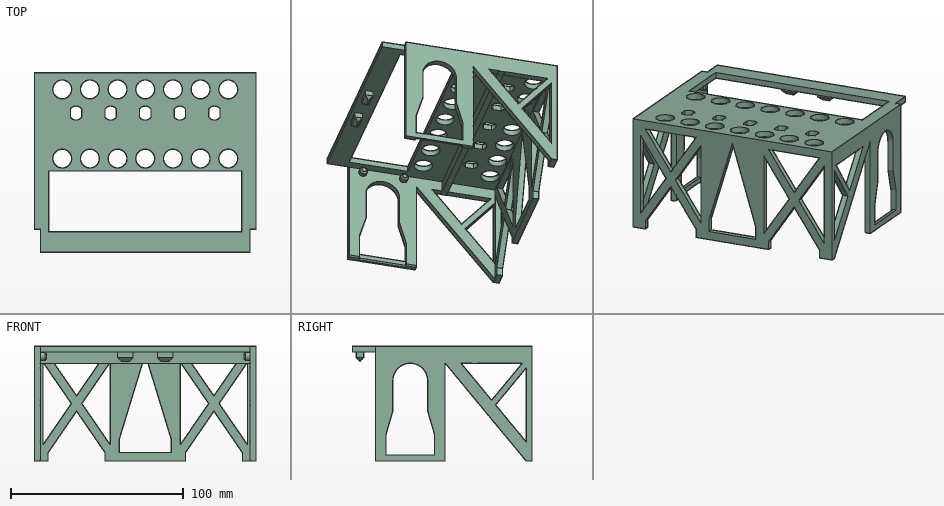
import cadquery as cq

WIDTH = 128.2
DEPTH = 104.0
HEIGHT = 66.5
THICKNESS = 3.5

BODY_DEPTH = 90.7
INNER_WIDTH = WIDTH - 2 * THICKNESS
OVERLAP = 0.5

WINDOW_WIDTH = 111.6
WINDOW_REAR = 57.0
WINDOW_LENGTH = 35.0
HOLE_DIAMETER = 10.74
HOLE_COUNT = 7
HOLE_PITCH = 16.0
HOLE_ROWS = (9.7, 49.7)
SLOT_WIDTH = 6.4
SLOT_DIAMETER = 8.0
SLOT_COUNT = 5
SLOT_PITCH = 20.0
SLOT_ROW = 23.4

RAIL_BOTTOM = 10.2
RAIL_FRONT = 35.0

REAR_BAND = 5.0
BAY_OUTER = WIDTH / 2 - 5.0
BAY_INNER = 20.3
BRACE_HALF_HEIGHT = 4.5
FOOT_MARGIN = 3.0
DOOR_HALF_WIDTH = 15.0
DOOR_SIDE_HEIGHT = 7.5

SIDE_BAND = 10.0
POST_REAR = 50.3
POST_CENTER = -(POST_REAR + BODY_DEPTH) / 2
DIAGONAL_HEIGHT = 11.2
STRUT_HEIGHT = 5.6
STRUT_LOWER_START = -12.8
ARCH_RADIUS = 10.0
ARCH_BASE_HALF_WIDTH = 14.0
ARCH_STRAIGHT_END = 37.5
ARCH_BASE_TOP = 51.2
SILL_THICKNESS = 2.0
SILL_INNER_X = -WIDTH / 2 + SILL_THICKNESS
FOOT_CHAMFER = 0.8

PEG_DIAMETER = 4.72
PEG_LENGTH = 3.5
PEG_CHAMFER = 1.0
PEG_DEPTH = 6.1
PEG_INSET = 8.0

CATCH_LENGTH = 9.0
CATCH_WIDTH = 4.5
CATCH_CENTER_X = 11.45
CATCH_CENTER_Y = 99.6
CATCH_STRAIGHT = 3.1
CATCH_POINT = CATCH_WIDTH / 2


def block(x_min, x_max, y_min, y_max, z_min, z_max):
    """Axis-aligned box between the given limits."""
    size = (x_max - x_min, y_max - y_min, z_max - z_min)
    return cq.Workplane("XY").box(*size, centered=False).translate((x_min, y_min, z_min))


def row(count, pitch, distance):
    """Centres of an evenly spaced row across the deck."""
    return [((i - (count - 1) / 2) * pitch, -distance) for i in range(count)]


def make_deck():
    deck = block(-WIDTH / 2, WIDTH / 2, -BODY_DEPTH, 0, -THICKNESS, 0)
    lip = block(-INNER_WIDTH / 2, INNER_WIDTH / 2, -DEPTH, -BODY_DEPTH + OVERLAP, -THICKNESS, 0)
    window = block(
        -WINDOW_WIDTH / 2, WINDOW_WIDTH / 2, -WINDOW_REAR - WINDOW_LENGTH, -WINDOW_REAR, -THICKNESS, 0
    )
    deck = deck.union(lip).cut(window)
    hole_centers = [center for distance in HOLE_ROWS for center in row(HOLE_COUNT, HOLE_PITCH, distance)]
    holes = cq.Workplane("XY").pushPoints(hole_centers).circle(HOLE_DIAMETER / 2).extrude(-THICKNESS)
    slot_places = cq.Workplane("XY").pushPoints(row(SLOT_COUNT, SLOT_PITCH, SLOT_ROW))
    slot_circles = slot_places.circle(SLOT_DIAMETER / 2).extrude(-THICKNESS)
    slot_flats = slot_places.rect(SLOT_WIDTH, SLOT_DIAMETER).extrude(-THICKNESS)
    return deck.cut(holes).cut(slot_circles.intersect(slot_flats))


def make_rail():
    return block(-WIDTH / 2, WIDTH / 2, -RAIL_FRONT, -RAIL_FRONT + THICKNESS, -RAIL_BOTTOM, 0)


def rear_prism(points):
    """Prism through the rear wall with the given X, Z outline."""
    return cq.Workplane("XZ").polyline(points).close().extrude(THICKNESS)


def make_rear_wall():
    wall = block(-WIDTH / 2, WIDTH / 2, -THICKNESS, 0, -HEIGHT, 0)
    top = -REAR_BAND
    bottom = -HEIGHT + REAR_BAND
    middle_z = (top + bottom) / 2
    middle_x = (BAY_OUTER + BAY_INNER) / 2
    slope = (top - bottom) / (BAY_OUTER - BAY_INNER)
    half_base = (middle_z - bottom - BRACE_HALF_HEIGHT) / slope
    apex_offset = BRACE_HALF_HEIGHT / slope
    half_bay = (BAY_OUTER - BAY_INNER) / 2
    side_half_height = (half_bay - apex_offset) * slope
    foot_gap = half_bay - FOOT_MARGIN

    for side in (-1, 1):
        center = side * middle_x
        upper = [
            (center - half_base, top),
            (center + half_base, top),
            (center, middle_z + BRACE_HALF_HEIGHT),
        ]
        lower = [
            (center - half_base, bottom),
            (center + half_base, bottom),
            (center, middle_z - BRACE_HALF_HEIGHT),
        ]
        wall = wall.cut(rear_prism(upper)).cut(rear_prism(lower))
        wall = wall.cut(block(center - foot_gap, center + foot_gap, -THICKNESS, 0, -HEIGHT, bottom))
        for direction in (-1, 1):
            edge = center + direction * half_bay
            wall = wall.cut(
                rear_prism(
                    [
                        (edge, middle_z - side_half_height),
                        (edge, middle_z + side_half_height),
                        (center + direction * apex_offset, middle_z),
                    ]
                )
            )

    door = [
        (-DOOR_HALF_WIDTH, bottom),
        (DOOR_HALF_WIDTH, bottom),
        (DOOR_HALF_WIDTH, bottom + DOOR_SIDE_HEIGHT),
        (0, top),
        (-DOOR_HALF_WIDTH, bottom + DOOR_SIDE_HEIGHT),
    ]
    return wall.cut(rear_prism(door))


def side_sketch():
    """Y, Z sketch plane whose extrusion fills the thickness of the -X side wall."""
    return cq.Workplane("YZ", origin=(-WIDTH / 2, 0, 0))


def side_prism(points):
    """Prism through the -X side wall with the given Y, Z outline."""
    return side_sketch().polyline(points).close().extrude(THICKNESS)


def make_side_openings():
    """Two triangles left free by the diagonal and by the strut that meets it."""
    slope = (HEIGHT - SIDE_BAND) / (POST_REAR - THICKNESS)

    def diagonal_z(distance):
        return -HEIGHT + (distance - THICKNESS) * slope + DIAGONAL_HEIGHT

    def meet(rear_z):
        """Point on the diagonal reached by a strut edge that starts at the rear column."""
        distance = THICKNESS + (rear_z - diagonal_z(THICKNESS)) / (2 * slope)
        return (-distance, diagonal_z(distance))

    def meet_band(rear_z):
        """Point where an edge leaving the rear column at this height crosses the top strip."""
        return (-THICKNESS - abs(-SIDE_BAND - rear_z) / slope, -SIDE_BAND)

    strut_top = STRUT_LOWER_START + STRUT_HEIGHT
    rear = [
        (-THICKNESS, diagonal_z(THICKNESS)),
        (-THICKNESS, STRUT_LOWER_START),
        meet(STRUT_LOWER_START),
    ]
    upper = [
        meet_band(strut_top),
        meet_band(diagonal_z(THICKNESS)),
        meet(strut_top),
    ]
    return side_prism(rear).union(side_prism(upper))


def make_arch():
    """Opening through the post: a round top above sides that flare to a wide base."""
    center = POST_CENTER
    return (
        side_sketch()
        .moveTo(center - ARCH_BASE_HALF_WIDTH, -HEIGHT + THICKNESS)
        .lineTo(center - ARCH_BASE_HALF_WIDTH, -ARCH_BASE_TOP)
        .lineTo(center - ARCH_RADIUS, -ARCH_STRAIGHT_END)
        .lineTo(center - ARCH_RADIUS, -SIDE_BAND - ARCH_RADIUS)
        .threePointArc((center, -SIDE_BAND), (center + ARCH_RADIUS, -SIDE_BAND - ARCH_RADIUS))
        .lineTo(center + ARCH_RADIUS, -ARCH_STRAIGHT_END)
        .lineTo(center + ARCH_BASE_HALF_WIDTH, -ARCH_BASE_TOP)
        .lineTo(center + ARCH_BASE_HALF_WIDTH, -HEIGHT + THICKNESS)
        .close()
        .extrude(THICKNESS)
    )


def make_sill_recess():
    """Recess that thins the bar below the arch from the inside."""
    return block(
        SILL_INNER_X,
        -INNER_WIDTH / 2,
        POST_CENTER - ARCH_BASE_HALF_WIDTH,
        POST_CENTER + ARCH_BASE_HALF_WIDTH,
        -HEIGHT,
        -HEIGHT + THICKNESS,
    )


def make_foot_chamfer(inner_x, y_front, y_rear):
    """Wedge that breaks the bottom edge of an inner face of the post."""
    return (
        cq.Workplane("XZ", origin=(inner_x, y_rear, -HEIGHT))
        .polyline([(0, 0), (-FOOT_CHAMFER, 0), (0, FOOT_CHAMFER)])
        .close()
        .extrude(y_rear - y_front)
    )


def make_peg(distance):
    """Chamfered peg on the inner face of the -X side wall."""
    return (
        cq.Workplane("YZ", origin=(-INNER_WIDTH / 2 - OVERLAP, -distance, -PEG_DEPTH))
        .circle(PEG_DIAMETER / 2)
        .extrude(PEG_LENGTH + OVERLAP)
        .faces(">X")
        .chamfer(PEG_CHAMFER)
    )


def make_side_wall():
    outline = [
        (0, 0),
        (0, -HEIGHT),
        (-THICKNESS, -HEIGHT),
        (-POST_REAR, -SIDE_BAND),
        (-POST_REAR, -HEIGHT),
        (-BODY_DEPTH, -HEIGHT),
        (-BODY_DEPTH, 0),
    ]
    wall = side_prism(outline).cut(make_side_openings()).cut(make_arch())
    wall = wall.cut(make_sill_recess())
    wall = wall.cut(make_foot_chamfer(-INNER_WIDTH / 2, -BODY_DEPTH, -POST_REAR))
    wall = wall.cut(
        make_foot_chamfer(
            SILL_INNER_X, POST_CENTER - ARCH_BASE_HALF_WIDTH, POST_CENTER + ARCH_BASE_HALF_WIDTH
        )
    )
    for distance in (POST_REAR + PEG_INSET, BODY_DEPTH - PEG_INSET):
        wall = wall.union(make_peg(distance))
    return wall


def make_catch(center_x):
    """Rectangular catch under the lip, ending in a 45 degree hip."""
    end_z = -THICKNESS - CATCH_STRAIGHT
    straight = block(
        center_x - CATCH_LENGTH / 2,
        center_x + CATCH_LENGTH / 2,
        -CATCH_CENTER_Y - CATCH_WIDTH / 2,
        -CATCH_CENTER_Y + CATCH_WIDTH / 2,
        end_z,
        -THICKNESS + OVERLAP,
    )
    along = (
        cq.Workplane("YZ", origin=(center_x - CATCH_LENGTH / 2, -CATCH_CENTER_Y, end_z))
        .polyline([(-CATCH_WIDTH / 2, 0), (CATCH_WIDTH / 2, 0), (0, -CATCH_POINT)])
        .close()
        .extrude(CATCH_LENGTH)
    )
    across = (
        cq.Workplane("XZ", origin=(center_x, -CATCH_CENTER_Y + CATCH_WIDTH / 2, end_z))
        .polyline(
            [
                (-CATCH_LENGTH / 2, 0),
                (CATCH_LENGTH / 2, 0),
                (CATCH_LENGTH / 2 - CATCH_POINT, -CATCH_POINT),
                (-CATCH_LENGTH / 2 + CATCH_POINT, -CATCH_POINT),
            ]
        )
        .close()
        .extrude(CATCH_WIDTH)
    )
    return straight.union(along.intersect(across))


side_wall = make_side_wall()
result = make_deck().union(make_rail()).union(make_rear_wall())
result = result.union(side_wall).union(side_wall.mirror("YZ"))
for catch_x in (-CATCH_CENTER_X, CATCH_CENTER_X):
    result = result.union(make_catch(catch_x))